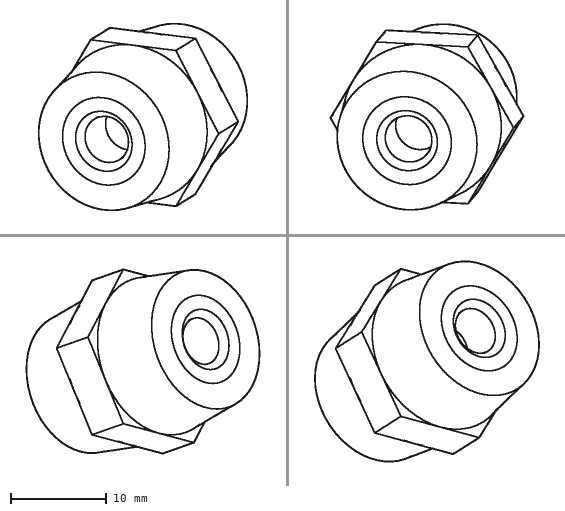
import cadquery as cq
import math

LENGTH = 20.0
COLLAR_LENGTH = 5.0
ACROSS_FLATS = 17.0
ACROSS_CORNERS = ACROSS_FLATS / math.cos(math.pi / 6)
END_DIAMETER = 15.0

INSERT_DIAMETER = 9.5
INSERT_LENGTH = 8.0
BORE_DIAMETER = 5.0
BORE_DEPTH = 6.0
BORE_MOUTH_DIAMETER = 6.5
BORE_CHAMFER = (BORE_MOUTH_DIAMETER - BORE_DIAMETER) / 2
DRILL_POINT_ANGLE = math.radians(120)
BORE_TIP_DEPTH = BORE_DIAMETER / 2 / math.tan(DRILL_POINT_ANGLE / 2)

END_TURNS = (0, 180)

FRONT_END = -LENGTH / 2


def revolve_about_y(points):
    """Solid of revolution about Y from (radius, y) profile points."""
    return cq.Workplane("XY").polyline(points).close().revolve(360, (0, 0, 0), (0, 1, 0))


def turn_to_end(shape, angle):
    return shape.rotate((0, 0, 0), (0, 0, 1), angle)


def make_cone():
    """Tapered -Y end of the housing, as wide as the flats where it meets the collar."""
    collar_face = -COLLAR_LENGTH / 2
    return revolve_about_y([
        (0, FRONT_END),
        (END_DIAMETER / 2, FRONT_END),
        (ACROSS_FLATS / 2, collar_face),
        (0, collar_face),
    ])


def make_insert_seat():
    """Space that an insert fills at the -Y end of the housing."""
    return (
        cq.Workplane("XZ", origin=(0, FRONT_END, 0))
        .circle(INSERT_DIAMETER / 2)
        .extrude(-INSERT_LENGTH)
    )


def make_housing():
    housing = (
        cq.Workplane("XZ")
        .polygon(6, ACROSS_CORNERS)
        .extrude(COLLAR_LENGTH / 2, both=True)
    )
    for angle in END_TURNS:
        housing = housing.union(turn_to_end(make_cone(), angle))
    for angle in END_TURNS:
        housing = housing.cut(turn_to_end(make_insert_seat(), angle))
    return housing.solids().val()


def make_bore():
    """Blind bore with a chamfered mouth and a conical drill point."""
    bore_radius = BORE_DIAMETER / 2
    return revolve_about_y([
        (0, FRONT_END),
        (BORE_MOUTH_DIAMETER / 2, FRONT_END),
        (bore_radius, FRONT_END + BORE_CHAMFER),
        (bore_radius, FRONT_END + BORE_DEPTH),
        (0, FRONT_END + BORE_DEPTH + BORE_TIP_DEPTH),
    ])


def make_insert(angle):
    return turn_to_end(make_insert_seat().cut(make_bore()), angle).solids().val()


housing = make_housing()
inserts = [make_insert(angle) for angle in END_TURNS]

result = cq.Compound.makeCompound([housing, *inserts])